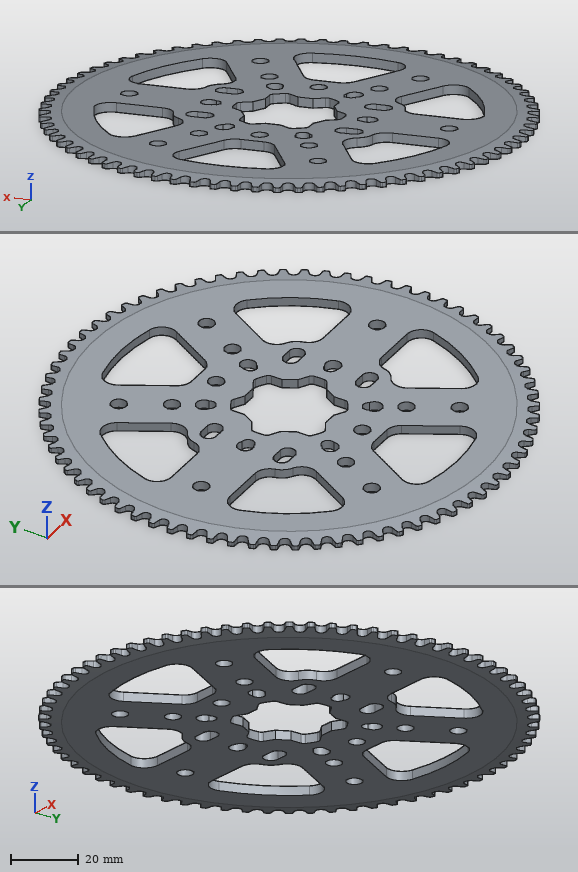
import cadquery as cq
import math

INCH = 25.4
THICKNESS = 3.0
TOOTH_COUNT = 72
CHAIN_PITCH = INCH / 4
ROLLER_DIAMETER = 3.302
PITCH_ANGLE = 360 / TOOTH_COUNT
PITCH_RADIUS = CHAIN_PITCH / 2 / math.sin(math.radians(PITCH_ANGLE / 2))

TIP_RADIUS = 74.62
SEAT_CLEARANCE = 0.05
SEAT_RADIUS = ROLLER_DIAMETER / 2 + SEAT_CLEARANCE
FLANK_ANGLE = 17.0
TIP_FILLET = 0.55

RIM_RADIUS = 67.9
TIP_THICKNESS = 1.5

SECTOR_ANGLE = 60
HALF_SECTOR = math.radians(SECTOR_ANGLE / 2)
SPOKE_ANGLES = [SECTOR_ANGLE * i for i in range(6)]
DIAGONAL_ANGLES = [60, 120, 240, 300]
Y_AXIS_ANGLES = [90, 270]

BORE_FLAT_DISTANCE = 14.0
LOBE_SIDE_DISTANCE = 10.95
LOBE_RADIUS = 17.46
LOBE_FILLET = 1.6

BOLT_DIAMETER = 5.1
SPLINE_BOLT_DIAMETER = 4.1
SPLINE_BOLT_RADIUS = 1.875 * INCH / 2
INNER_BOLT_RADIUS = INCH
MIDDLE_BOLT_RADIUS = 2.75 * INCH / 2
OUTER_BOLT_RADIUS = 2 * INCH

SLOT_Y = INCH / 2
SLOT_INNER_X = INNER_BOLT_RADIUS * math.cos(HALF_SECTOR)
SLOT_OUTER_X = INCH

SPOKE_HALF_WIDTH = 0.4 * INCH
WINDOW_INNER_DISTANCE = 31.7
WINDOW_OUTER_RADIUS = 58.3
WINDOW_FILLET = 5.0
SLOT_BOSS_RADIUS = 6.35


def polar(radius, angle):
    """Point at the given radius and angle in degrees."""
    return (radius * math.cos(math.radians(angle)), radius * math.sin(math.radians(angle)))


def rotated(point, angle):
    """Point turned about the sprocket axis by an angle in degrees."""
    c = math.cos(math.radians(angle))
    s = math.sin(math.radians(angle))
    return (point[0] * c - point[1] * s, point[0] * s + point[1] * c)


def mirrored(point):
    """Point reflected across the X axis."""
    return (point[0], -point[1])


def shifted(point, distance, angle):
    """Point moved by a distance in the direction of an angle in degrees."""
    step = polar(distance, angle)
    return (point[0] + step[0], point[1] + step[1])


def plate():
    """Workplane on the bottom face of the sprocket."""
    return cq.Workplane("XY").workplane(offset=-THICKNESS / 2)


def rim_blank():
    """Disc whose rim tapers on both faces towards the tooth tips."""
    half = THICKNESS / 2
    tip_half = TIP_THICKNESS / 2
    return (
        cq.Workplane("XZ")
        .moveTo(0, -half)
        .lineTo(RIM_RADIUS, -half)
        .lineTo(TIP_RADIUS, -tip_half)
        .lineTo(TIP_RADIUS, tip_half)
        .lineTo(RIM_RADIUS, half)
        .lineTo(0, half)
        .close()
        .revolve(360, (0, 0, 0), (0, 1, 0))
    )


def toothed_prism():
    """Full-thickness prism outlined by the teeth, with a gullet centred on +X."""
    roller_centre = (PITCH_RADIUS, 0)
    root = (PITCH_RADIUS - SEAT_RADIUS, 0)
    normal_angle = FLANK_ANGLE + 90
    seat_end = shifted(roller_centre, SEAT_RADIUS, normal_angle)

    line_start = shifted(roller_centre, SEAT_RADIUS + TIP_FILLET, normal_angle)
    along, across = rotated(line_start, -FLANK_ANGLE)
    flank_length = math.sqrt((TIP_RADIUS - TIP_FILLET) ** 2 - across**2) - along
    flank_end = shifted(seat_end, flank_length, FLANK_ANGLE)
    fillet_centre = shifted(line_start, flank_length, FLANK_ANGLE)
    crest_angle = math.degrees(math.atan2(fillet_centre[1], fillet_centre[0]))
    crest = polar(TIP_RADIUS, crest_angle)
    fillet_middle = shifted(fillet_centre, TIP_FILLET, (crest_angle + FLANK_ANGLE - 90) / 2)

    outline = plate().moveTo(*mirrored(crest))
    for i in range(TOOTH_COUNT):
        turn = i * PITCH_ANGLE
        tip_middle = polar(TIP_RADIUS, turn + PITCH_ANGLE / 2)
        next_crest = rotated(mirrored(crest), turn + PITCH_ANGLE)
        outline = (
            outline
            .threePointArc(rotated(mirrored(fillet_middle), turn), rotated(mirrored(flank_end), turn))
            .lineTo(*rotated(mirrored(seat_end), turn))
            .threePointArc(rotated(root, turn), rotated(seat_end, turn))
            .lineTo(*rotated(flank_end, turn))
            .threePointArc(rotated(fillet_middle, turn), rotated(crest, turn))
            .threePointArc(tip_middle, next_crest)
        )
    return outline.close().extrude(THICKNESS)


def spline_bore():
    """Hexagonal bore with a rounded lobe at each corner."""
    corner_diameter = 2 * BORE_FLAT_DISTANCE / math.cos(HALF_SECTOR)
    bore = plate().polygon(len(SPOKE_ANGLES), corner_diameter).extrude(THICKNESS)
    lobe_point = LOBE_SIDE_DISTANCE / math.sin(HALF_SECTOR)
    lobe_half_width = lobe_point * math.tan(HALF_SECTOR)
    lobe = (
        plate()
        .polyline([(0, -lobe_half_width), (lobe_point, 0), (0, lobe_half_width)])
        .close()
        .extrude(THICKNESS)
        .intersect(plate().circle(LOBE_RADIUS).extrude(THICKNESS))
        .edges("|Z exc <X")
        .fillet(LOBE_FILLET)
    )
    for angle in SPOKE_ANGLES:
        bore = bore.union(lobe.rotate((0, 0, 0), (0, 0, 1), angle))
    return bore


def bolt_circle(radius, angles, diameter):
    """Through-hole cutters on a circle about the axis."""
    centres = [polar(radius, angle) for angle in angles]
    return plate().pushPoints(centres).circle(diameter / 2).extrude(THICKNESS)


def slot_cutters():
    """Four slots running along X, two on each side of the bore."""
    middle_x = (SLOT_INNER_X + SLOT_OUTER_X) / 2
    length = SLOT_OUTER_X - SLOT_INNER_X + BOLT_DIAMETER
    centres = [(sx * middle_x, sy * SLOT_Y) for sx in (-1, 1) for sy in (-1, 1)]
    return plate().pushPoints(centres).slot2D(length, BOLT_DIAMETER).extrude(THICKNESS)


def window_blank(inner_distance):
    """Sharp-cornered window centred on +Y, between two spokes."""
    def edge_x(y):
        return y * math.tan(HALF_SECTOR) - SPOKE_HALF_WIDTH / math.cos(HALF_SECTOR)

    inner_x = edge_x(inner_distance)
    outer_x = edge_x(WINDOW_OUTER_RADIUS)
    return (
        plate()
        .polyline([
            (-inner_x, inner_distance),
            (inner_x, inner_distance),
            (outer_x, WINDOW_OUTER_RADIUS),
            (-outer_x, WINDOW_OUTER_RADIUS),
        ])
        .close()
        .extrude(THICKNESS)
        .intersect(plate().circle(WINDOW_OUTER_RADIUS).extrude(THICKNESS))
    )


def windows():
    """Two plain windows on the Y axis and four that curve around the slot bosses."""
    plain = window_blank(WINDOW_INNER_DISTANCE).edges("|Z").fillet(WINDOW_FILLET)
    boss = plate().center(SLOT_OUTER_X, SLOT_Y).circle(SLOT_BOSS_RADIUS).extrude(THICKNESS)
    right = window_blank(SLOT_OUTER_X).rotate((0, 0, 0), (0, 0, 1), -SECTOR_ANGLE).cut(boss)
    right = right.edges("|Z").fillet(WINDOW_FILLET)
    upper = plain.union(right).union(right.mirror("YZ"))
    return upper.union(upper.mirror("XZ"))


result = rim_blank().intersect(toothed_prism())
result = result.cut(spline_bore())
result = result.cut(bolt_circle(INNER_BOLT_RADIUS, SPOKE_ANGLES + Y_AXIS_ANGLES, BOLT_DIAMETER))
result = result.cut(bolt_circle(SPLINE_BOLT_RADIUS, SPOKE_ANGLES, SPLINE_BOLT_DIAMETER))
result = result.cut(bolt_circle(MIDDLE_BOLT_RADIUS, DIAGONAL_ANGLES, BOLT_DIAMETER))
result = result.cut(bolt_circle(OUTER_BOLT_RADIUS, SPOKE_ANGLES, BOLT_DIAMETER))
result = result.cut(slot_cutters())
result = result.cut(windows())